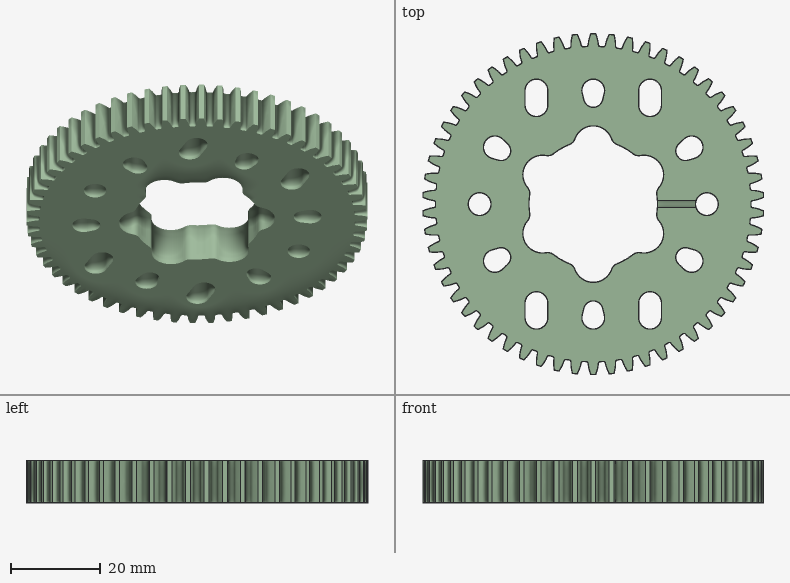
import cadquery as cq
import math

TEETH = 58
OUTER_RADIUS = 38.1
THICKNESS = 9.5
PRESSURE_ANGLE = math.radians(15.5)
DEDENDUM_RATIO = 1.25
ROOT_FILLET = 0.4
TOOTH_THINNING = 0.1
FLANK_STEPS = 4

MODULE = 2 * OUTER_RADIUS / (TEETH + 2)
PITCH_RADIUS = TEETH * MODULE / 2
BASE_RADIUS = PITCH_RADIUS * math.cos(PRESSURE_ANGLE)
ROOT_RADIUS = PITCH_RADIUS - DEDENDUM_RATIO * MODULE
TOOTH_PITCH = 2 * math.pi / TEETH

LOBES = 6
BORE_RADIUS = 14.3
LOBE_RADIUS = 4.35
LOBE_TIP_RADIUS = 17.45
LOBE_BLEND = 2.05
LOBE_CENTER_RADIUS = LOBE_TIP_RADIUS - LOBE_RADIUS

BOLT_CIRCLE_RADIUS = 25.4
HOLE_RADIUS = 2.5
TEARDROP_TIP_RADIUS = 2.1
TEARDROP_LENGTH = 1.6
TEARDROP_ANGLES = (30, 90, 150, 210, 270, 330)
ROUND_HOLE_ANGLES = (0, 180)

SLOT_X = BOLT_CIRCLE_RADIUS * math.cos(math.radians(60))
SLOT_INNER_Y = 22.1
SLOT_OUTER_Y = BOLT_CIRCLE_RADIUS

GROOVE_WIDTH = 1.6
GROOVE_DEPTH = 0.8


def polar(radius, angle):
    return (radius * math.cos(angle), radius * math.sin(angle))


def arc_middle(center, start, end):
    """Mid-point of the shorter arc about a centre between two points at equal distance from it."""
    start_direction = math.atan2(start[1] - center[1], start[0] - center[0])
    end_direction = math.atan2(end[1] - center[1], end[0] - center[0])
    turn = math.remainder(end_direction - start_direction, 2 * math.pi)
    dx, dy = polar(math.dist(center, start), start_direction + turn / 2)
    return (center[0] + dx, center[1] + dy)


def involute(pressure_angle):
    return math.tan(pressure_angle) - pressure_angle


def tooth_half_angle(radius):
    """Half the angle a tooth spans at a radius on its involute flank."""
    local_pressure_angle = math.acos(BASE_RADIUS / radius)
    pitch_half_angle = TOOTH_PITCH / 4 - TOOTH_THINNING / (2 * PITCH_RADIUS)
    return pitch_half_angle + involute(PRESSURE_ANGLE) - involute(local_pressure_angle)


def gear_blank():
    """Solid gear; each gap is one smooth curve of involute flanks, root fillets and root arc."""
    fillet_center_radius = ROOT_RADIUS + ROOT_FILLET
    fillet_half_angle = tooth_half_angle(fillet_center_radius) + ROOT_FILLET / BASE_RADIUS
    flank_normal_length = math.sqrt(fillet_center_radius**2 - BASE_RADIUS**2) - ROOT_FILLET
    flank_start_radius = math.hypot(BASE_RADIUS, flank_normal_length)
    flank_radii = [
        flank_start_radius + (OUTER_RADIUS - flank_start_radius) * step / FLANK_STEPS
        for step in range(FLANK_STEPS + 1)
    ]

    fillet_center = polar(fillet_center_radius, fillet_half_angle)
    flank_start = polar(flank_start_radius, tooth_half_angle(flank_start_radius))
    root_start = polar(ROOT_RADIUS, fillet_half_angle)
    fillet_middle = arc_middle(fillet_center, flank_start, root_start)

    tooth_side = [(radius, tooth_half_angle(radius)) for radius in reversed(flank_radii)]
    tooth_side.append((math.hypot(*fillet_middle), math.atan2(fillet_middle[1], fillet_middle[0])))
    tooth_side.append((ROOT_RADIUS, fillet_half_angle))

    first_axis = math.pi / 2
    outline = cq.Workplane("XY").moveTo(*polar(OUTER_RADIUS, first_axis - tooth_half_angle(OUTER_RADIUS)))
    for index in range(TEETH):
        axis = first_axis + index * TOOTH_PITCH
        next_axis = axis + TOOTH_PITCH
        falling = [polar(radius, axis + angle) for radius, angle in tooth_side]
        rising = [polar(radius, next_axis - angle) for radius, angle in reversed(tooth_side)]
        root_middle = polar(ROOT_RADIUS, axis + TOOTH_PITCH / 2)
        outline = outline.threePointArc(polar(OUTER_RADIUS, axis), falling[0])
        outline = outline.spline(falling[1:] + [root_middle] + rising, includeCurrent=True)
    return outline.close().extrude(THICKNESS)


def center_opening():
    """Bore with lobes; each lobe meets the bore through an arc tangent to both."""
    blend_center_radius = BORE_RADIUS + LOBE_BLEND
    blend_reach = LOBE_RADIUS + LOBE_BLEND
    blend_angle = math.acos(
        (blend_center_radius**2 + LOBE_CENTER_RADIUS**2 - blend_reach**2)
        / (2 * blend_center_radius * LOBE_CENTER_RADIUS)
    )

    def blend_points(axis, side):
        """Bore end, middle and lobe end of the blend on one side of a lobe."""
        bore_angle = axis + side * blend_angle
        center = polar(blend_center_radius, bore_angle)
        bore_end = polar(BORE_RADIUS, bore_angle)
        lobe_center = polar(LOBE_CENTER_RADIUS, axis)
        lobe_share = LOBE_RADIUS / blend_reach
        lobe_end = tuple(lobe + (blend - lobe) * lobe_share for lobe, blend in zip(lobe_center, center))
        return bore_end, arc_middle(center, bore_end, lobe_end), lobe_end

    lobe_pitch = 2 * math.pi / LOBES
    first_axis = math.pi / 2
    outline = cq.Workplane("XY").moveTo(*blend_points(first_axis, -1)[0])
    for index in range(LOBES):
        axis = first_axis + index * lobe_pitch
        _, entry_middle, lobe_start = blend_points(axis, -1)
        bore_start, exit_middle, lobe_end = blend_points(axis, 1)
        next_bore_end = blend_points(axis + lobe_pitch, -1)[0]
        outline = (
            outline.threePointArc(entry_middle, lobe_start)
            .threePointArc(polar(LOBE_TIP_RADIUS, axis), lobe_end)
            .threePointArc(exit_middle, bore_start)
            .threePointArc(polar(BORE_RADIUS, axis + lobe_pitch / 2), next_bore_end)
        )
    return outline.close().extrude(THICKNESS)


def teardrop_hole(angle):
    """Round hole with straight tangent sides narrowing to a smaller round end nearer the centre."""
    outer_x = BOLT_CIRCLE_RADIUS
    inner_x = BOLT_CIRCLE_RADIUS - TEARDROP_LENGTH
    taper = math.asin((HOLE_RADIUS - TEARDROP_TIP_RADIUS) / TEARDROP_LENGTH)
    outer_dx = HOLE_RADIUS * math.sin(taper)
    outer_dy = HOLE_RADIUS * math.cos(taper)
    inner_dx = TEARDROP_TIP_RADIUS * math.sin(taper)
    inner_dy = TEARDROP_TIP_RADIUS * math.cos(taper)
    return (
        cq.Workplane("XY")
        .moveTo(outer_x - outer_dx, -outer_dy)
        .threePointArc((outer_x + HOLE_RADIUS, 0), (outer_x - outer_dx, outer_dy))
        .lineTo(inner_x - inner_dx, inner_dy)
        .threePointArc((inner_x - TEARDROP_TIP_RADIUS, 0), (inner_x - inner_dx, -inner_dy))
        .close()
        .extrude(THICKNESS)
        .rotate((0, 0, 0), (0, 0, 1), angle)
    )


def round_holes():
    centers = [polar(BOLT_CIRCLE_RADIUS, math.radians(angle)) for angle in ROUND_HOLE_ANGLES]
    return cq.Workplane("XY").pushPoints(centers).circle(HOLE_RADIUS).extrude(THICKNESS)


def straight_slots():
    middle_y = (SLOT_INNER_Y + SLOT_OUTER_Y) / 2
    length = SLOT_OUTER_Y - SLOT_INNER_Y + 2 * HOLE_RADIUS
    centers = [(x, y) for x in (-SLOT_X, SLOT_X) for y in (-middle_y, middle_y)]
    return cq.Workplane("XY").pushPoints(centers).slot2D(length, 2 * HOLE_RADIUS, 90).extrude(THICKNESS)


def groove():
    """Runs from the gear axis to the hole axis, so both ends fall inside openings."""
    return (
        cq.Workplane("XY", origin=(0, 0, THICKNESS))
        .center(BOLT_CIRCLE_RADIUS / 2, 0)
        .rect(BOLT_CIRCLE_RADIUS, GROOVE_WIDTH)
        .extrude(-GROOVE_DEPTH)
    )


result = gear_blank().cut(center_opening()).cut(round_holes()).cut(straight_slots()).cut(groove())
for teardrop_angle in TEARDROP_ANGLES:
    result = result.cut(teardrop_hole(teardrop_angle))